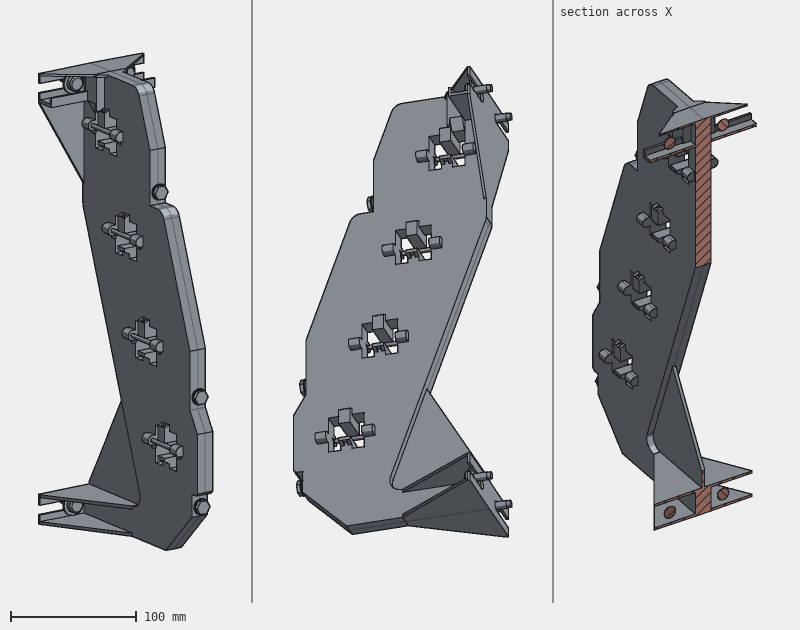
import cadquery as cq
import math

height = 375.0
span = 100.0
half_span = span / 2
head_draft = 0.5
spine_draft = 1.0
ridge_drop = half_span * math.tan(math.radians(head_draft))
tip_drop = half_span * math.tan(math.radians(spine_draft))
lean = math.tan(math.radians(20))

spine_half = 7.5
spine_top_x = 77.2
upper_step_x = 94.7
upper_step_z = 281.0
lower_step_x = 151.0
nose_x = 161.46
nose_top_z = 107.5
nose_low_z = 55.5
nose_chamfer = 2.5
notch_x = 153.7
foot_x = 117.0
knee_z = 258.5
lower_step_z = 174.0
shoulder_z = 125.0
upper_corner_radius = 10.0
step_corner_radius = 10.0
inner_corner_radius = 10.0
knee_radius = 10.0
knee_round_z = knee_z + knee_radius * math.tan(math.radians(10))

plate_thickness = 2.1
base_height = 25.5
base_flange = 2.8
base_gusset_x = 70.0
top_flange = 2.4
bolt_inset = 12.3
slot_height = 8.0
slot_end_y = 15.0
apron_z = 350.0
apron_tip_z = 277.0
shelf_low_z = 350.6
shelf_thickness = 2.6
shelf_depth = 17.9
lip_thickness = 2.1
lip_top_z = 358.3

hub_half = 15.0
hub_start_x = 14.8
hub_end_x = 28.3
hub_slope_drop = 12.0
hub_rib_x = 30.5
hub_rib_low_z = 344.5
flange_tip_x = 35.0

web_half = 1.5
web_foot_z = 26.9
web_tip_x = 51.7
web_tip_z = web_foot_z + web_tip_x * math.tan(math.radians(60))

window_count = 4
window_width = 29.9
window_height = 30.8
window_x = 18.0
window_z = 310.2
window_step_x = 28.1
window_step_z = 80.2
tab_width = 9.4
tab_reach = 12.2
low_tab_height = 9.0
low_tab_lip = 3.0
low_tab_slope = 2.4
high_tab_low = 21.6
high_tab_top = 34.1
high_tab_slope = 2.2
tab_groove = 3.2
barrel_radius = 4.2
barrel_length = 9.0
barrel_y = 10.2
front_barrel_rise = 18.8
back_barrel_rise = 12.8
bar_radius = 1.8
notch_length = 5.6
notch_depth = 3.5
notch_low_rise = 11.2

bolt_spacing = 50.0
bolt_shift = 6.2
shank_radius = 3.2
shank_reach = 12.0
tip_radius = 2.9
tip_length = 3.2
washer_radius = 9.2
washer_thickness = 1.8
head_radius = 6.4
head_height = 5.0
head_chamfer = 1.3

stud_radius = 3.0
stud_depth = 10.0
collar_radius = 5.6
collar_height = 1.7
flange_radius = 6.6
flange_height = 0.8
hex_across_flats = 10.8
stud_height = 5.7
upper_stud = (upper_step_x, 291.7)
middle_stud = (lower_step_x, 135.5)
lower_stud = (notch_x, 44.9)


def box(x0, x1, y0, y1, z0, z1):
    return cq.Workplane("XY").box(x1 - x0, y1 - y0, z1 - z0, centered=False).translate((x0, y0, z0))


def rod_along_x(radius, x0, x1, y, z):
    return cq.Workplane("YZ").center(y, z).circle(radius).extrude(x1 - x0).translate((x0, 0, 0))


def make_spine():
    step_corner_x = lower_step_x - lean * (upper_step_z - lower_step_z)
    upper_slope_end_z = height - (upper_step_x - spine_top_x) / lean
    inner_corner_x = lean * (knee_z - base_height)
    outline = [
        (0, 0),
        (foot_x, 0),
        (notch_x, notch_x - foot_x),
        (notch_x, nose_low_z),
        (nose_x - nose_chamfer, nose_low_z),
        (nose_x, nose_low_z + nose_chamfer),
        (nose_x, nose_top_z),
        (lower_step_x, shoulder_z),
        (lower_step_x, lower_step_z),
        (step_corner_x, upper_step_z),
        (upper_step_x, upper_step_z),
        (upper_step_x, upper_slope_end_z),
        (spine_top_x, height),
        (0, height),
        (0, knee_z),
        (inner_corner_x, base_height),
        (0, base_height),
    ]
    rounded_corners = [
        (spine_top_x, height, upper_corner_radius),
        (step_corner_x, upper_step_z, step_corner_radius),
        (inner_corner_x, base_height, inner_corner_radius),
        (0, knee_z, knee_radius),
    ]
    blank = cq.Workplane("XZ").polyline(outline).close().extrude(1)
    for x, z, radius in rounded_corners:
        corner = cq.selectors.NearestToPointSelector((x, -0.5, z))
        blank = blank.edges("|Y").edges(corner).fillet(radius)
    rounded_outline = blank.faces(">Y").wires().toPending().workplane(origin=(0, 0, 0), invert=True)
    front_half = rounded_outline.extrude(spine_half, combine=False, taper=spine_draft)
    return front_half.union(front_half.mirror("XZ"))


def head_slab(length, low_z, high_z, drop):
    """Slab across the span, thickest at Y = 0 and losing `drop` from both faces at each end."""
    profile = [
        (-half_span, low_z + drop),
        (0, low_z),
        (half_span, low_z + drop),
        (half_span, high_z - drop),
        (0, high_z),
        (-half_span, high_z - drop),
    ]
    return cq.Workplane("YZ").polyline(profile).close().extrude(length)


def clamp_slots(axis_z):
    end_radius = slot_height / 2
    end_y = slot_end_y + end_radius
    slot = rod_along_x(end_radius, 0, plate_thickness, end_y, axis_z)
    slot = slot.union(box(0, plate_thickness, end_y, half_span, axis_z - end_radius, axis_z + end_radius))
    return slot.union(slot.mirror("XZ"))


def make_base():
    gusset = [
        (0, -half_span),
        (plate_thickness, -half_span),
        (base_gusset_x, -spine_half),
        (base_gusset_x, spine_half),
        (plate_thickness, half_span),
        (0, half_span),
    ]
    block = head_slab(base_gusset_x, 0, base_height, ridge_drop)
    block = block.intersect(cq.Workplane("XY").polyline(gusset).close().extrude(base_height))
    pocket_high_z = base_height - base_flange
    for side in (-1, 1):
        near, far = sorted((side * web_half, side * half_span))
        block = block.cut(box(plate_thickness, base_gusset_x, near, far, base_flange, pocket_high_z))
    return block.cut(clamp_slots(bolt_inset))


def make_upper_plate():
    profile = [
        (-half_span, height - ridge_drop),
        (0, height),
        (half_span, height - ridge_drop),
        (half_span, apron_z),
        (spine_half, apron_tip_z),
        (spine_half, knee_round_z),
        (-spine_half, knee_round_z),
        (-spine_half, apron_tip_z),
        (-half_span, apron_z),
    ]
    plate = cq.Workplane("YZ").polyline(profile).close().extrude(plate_thickness)
    return plate.cut(clamp_slots(height - bolt_inset))


def make_upper_flange():
    plan = [
        (0, -half_span),
        (plate_thickness, -half_span),
        (hub_end_x, -hub_half),
        (hub_rib_x, -hub_half),
        (flange_tip_x, -spine_half),
        (flange_tip_x, spine_half),
        (hub_rib_x, hub_half),
        (hub_end_x, hub_half),
        (plate_thickness, half_span),
        (0, half_span),
    ]
    slab = head_slab(hub_end_x, height - top_flange, height, ridge_drop)
    tip = head_slab(flange_tip_x - hub_end_x, height - top_flange, height, tip_drop)
    slab = slab.union(tip.translate((hub_end_x, 0, 0)))
    return slab.intersect(cq.Workplane("XY").polyline(plan).close().extrude(height))


def make_shelf():
    floor = box(0, shelf_depth, -half_span, half_span, shelf_low_z, shelf_low_z + shelf_thickness)
    lip = box(shelf_depth - lip_thickness, shelf_depth, -half_span, half_span, shelf_low_z, lip_top_z)
    return floor.union(lip)


def make_hub():
    """Block with a sloping underside behind the shelf, ended by a rib that reaches lower down."""
    flange_low_z = height - top_flange
    profile = [
        (-hub_half, shelf_low_z),
        (-spine_half, shelf_low_z - hub_slope_drop),
        (spine_half, shelf_low_z - hub_slope_drop),
        (hub_half, shelf_low_z),
        (hub_half, flange_low_z),
        (-hub_half, flange_low_z),
    ]
    block = cq.Workplane("YZ").polyline(profile).close().extrude(hub_end_x - hub_start_x)
    block = block.translate((hub_start_x, 0, 0))
    block = block.cut(box(0, shelf_depth, -half_span, half_span, 0, shelf_low_z))
    return block.union(box(hub_end_x, hub_rib_x, -hub_half, hub_half, hub_rib_low_z, flange_low_z))


def make_web():
    web_end_x = lean * (knee_z - base_height)
    outline = [
        (0, base_height - base_flange),
        (0, web_foot_z),
        (web_tip_x, web_tip_z),
        (web_end_x, base_height),
        (web_end_x, base_height - base_flange),
    ]
    return cq.Workplane("XZ").polyline(outline).close().extrude(web_half, both=True)


def make_barrel(x, side, z):
    """Half-round knuckle along X with flat flanks down to the spine face."""
    barrel = rod_along_x(barrel_radius, x, x + barrel_length, side * barrel_y, z)
    near, far = sorted((side * spine_half, side * barrel_y))
    return barrel.union(box(x, x + barrel_length, near, far, z - barrel_radius, z + barrel_radius))


def make_tab(profile, x, groove_low_z, groove_high_z):
    """Tab through the spine whose slopes are parted by a groove down to the spine faces."""
    tab = cq.Workplane("YZ").polyline(profile).close().extrude(tab_width).translate((x, 0, 0))
    groove_x = x + (tab_width - tab_groove) / 2
    for side in (-1, 1):
        near, far = sorted((side * spine_half, side * tab_reach))
        tab = tab.cut(box(groove_x, groove_x + tab_groove, near, far, groove_low_z, groove_high_z))
    return tab


def low_tab(x, z):
    top_z = z + low_tab_height
    lip_z = top_z - low_tab_lip
    root_z = lip_z - low_tab_slope
    profile = [
        (-spine_half, z),
        (spine_half, z),
        (spine_half, root_z),
        (tab_reach, lip_z),
        (tab_reach, top_z),
        (-tab_reach, top_z),
        (-tab_reach, lip_z),
        (-spine_half, root_z),
    ]
    return make_tab(profile, x, root_z, lip_z)


def high_tab(x, z):
    low_z = z + high_tab_low
    shoulder = z + high_tab_top
    root_z = shoulder + high_tab_slope
    profile = [
        (-tab_reach, low_z),
        (tab_reach, low_z),
        (tab_reach, shoulder),
        (spine_half, root_z),
        (-spine_half, root_z),
        (-tab_reach, shoulder),
    ]
    return make_tab(profile, x, shoulder, root_z)


def window_fittings(x, z):
    """Tabs, barrels and bar of the window whose lower left corner is at (x, z)."""
    tab_x = x + (window_width - tab_width) / 2
    right_x = x + window_width
    fittings = rod_along_x(bar_radius, x - barrel_length, right_x + barrel_length,
                           -barrel_y, z + front_barrel_rise)
    fittings = fittings.union(low_tab(tab_x, z)).union(high_tab(tab_x, z))
    for barrel_x in (x - barrel_length, right_x):
        for side, rise in ((-1, front_barrel_rise), (1, back_barrel_rise)):
            fittings = fittings.union(make_barrel(barrel_x, side, z + rise))
    return fittings


def window_opening(x, z):
    """Window through the spine with a sloping notch on each side below the front barrels."""
    opening = box(x, x + window_width, -half_span, half_span, z, z + window_height)
    notch = [
        (-spine_half, z + notch_low_rise),
        (-spine_half, z + front_barrel_rise),
        (-spine_half + notch_depth, z + front_barrel_rise),
    ]
    notch_width = window_width + 2 * notch_length
    notches = cq.Workplane("YZ").polyline(notch).close().extrude(notch_width)
    return opening.union(notches.translate((x - notch_length, 0, 0)))


def make_clamp_bolt(y, z):
    """Round-head bolt with its washer, pointing towards -X."""
    washer_end_x = plate_thickness + washer_thickness
    head_end_x = washer_end_x + head_height
    tip_end_x = tip_length - shank_reach
    head = rod_along_x(head_radius, washer_end_x, head_end_x, y, z).faces(">X").chamfer(head_chamfer)
    bolt = rod_along_x(tip_radius, -shank_reach, tip_end_x, y, z)
    bolt = bolt.union(rod_along_x(shank_radius, tip_end_x, plate_thickness, y, z))
    bolt = bolt.union(rod_along_x(washer_radius, plate_thickness, washer_end_x, y, z))
    return bolt.union(head)


def stud_shank(x, z):
    return rod_along_x(stud_radius, x - stud_depth, x, 0, z)


def make_stud(x, z):
    """Hex-head stud seated on the edge at X = x."""
    flange_x = x + collar_height
    hex_x = flange_x + flange_height
    across_corners = hex_across_flats / math.cos(math.pi / 6)
    stud = stud_shank(x, z).union(rod_along_x(collar_radius, x, flange_x, 0, z))
    stud = stud.union(rod_along_x(flange_radius, flange_x, hex_x, 0, z))
    hexagon = cq.Workplane("YZ").center(0, z).polygon(6, across_corners).extrude(x + stud_height - hex_x)
    return stud.union(hexagon.translate((hex_x, 0, 0)))


frame = make_spine()
frame = frame.union(make_base()).union(make_web())
frame = frame.union(make_upper_plate()).union(make_upper_flange()).union(make_shelf()).union(make_hub())
for i in range(window_count):
    corner = (window_x + i * window_step_x, window_z - i * window_step_z)
    frame = frame.cut(window_opening(*corner)).union(window_fittings(*corner))

frame = frame.union(make_stud(*middle_stud))
studs = [make_stud(*seat) for seat in (upper_stud, lower_stud)]
for seat in (upper_stud, lower_stud):
    frame = frame.cut(stud_shank(*seat))

clamp_bolts = [
    make_clamp_bolt(bolt_shift + side * bolt_spacing / 2, axis_z)
    for axis_z in (bolt_inset, height - bolt_inset)
    for side in (-1, 1)
]

bodies = [frame, *clamp_bolts, *studs]
result = cq.Compound.makeCompound([body.val() for body in bodies])